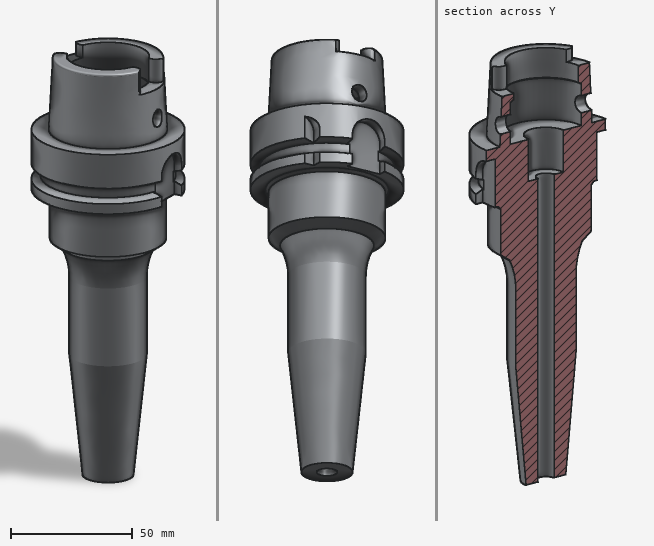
import cadquery as cq
import math

total_height = 182.0
nose_taper_top = 52.6
shank_top = 86.5
shoulder_bottom = 99.7
shoulder_top = 103.0
collar_top = 123.0
flange_bottom = 124.3
groove_lower_edge = 128.7
groove_floor_bottom = 130.1
groove_floor_top = 134.1
groove_upper_edge = 135.4
flange_top = 150.2

nose_radius = 10.5
shank_radius = 16.0
shoulder_radius = 19.3
collar_radius = 24.0
collar_chamfer = flange_bottom - collar_top
flange_radius = 31.5
groove_radius = 27.8
taper_base_radius = 24.4
taper_top_radius = 22.8
rim_fillet = 1.1

mouth_radius = 17.0
undercut_radius = 18.5
mouth_depth = 13.0
undercut_lead = 1.0
recess_radius = 9.1
recess_depth = 18.2
passage_radius = 4.2

keyway_width = 16.0
keyway_floor = 27.0
keyway_apex = 145.2
notch_radius = 6.4
notch_center_y = 26.4
notch_floor = 19.8

rim_slot_width = 12.4
rim_slot_fillet = 3.5
shallow_slot_depth = 5.5
deep_slot_depth = 10.2
cross_hole_radius = 3.6
cross_hole_height = 159.2


def make_outer_body():
    """Revolve the outside profile, with a concave arc blending shank into shoulder."""
    blend_width = shoulder_radius - shank_radius
    blend_height = shoulder_bottom - shank_top
    blend_radius = (blend_width**2 + blend_height**2) / (2 * blend_width)
    half_angle = math.asin(blend_height / blend_radius) / 2
    blend_middle = (
        shank_radius + blend_radius * (1 - math.cos(half_angle)),
        shank_top + blend_radius * math.sin(half_angle),
    )
    profile = (
        cq.Workplane("XZ")
        .lineTo(nose_radius, 0)
        .lineTo(shank_radius, nose_taper_top)
        .lineTo(shank_radius, shank_top)
        .threePointArc(blend_middle, (shoulder_radius, shoulder_bottom))
        .lineTo(collar_radius, shoulder_top)
        .lineTo(collar_radius, collar_top)
        .lineTo(collar_radius + collar_chamfer, flange_bottom)
        .lineTo(flange_radius, flange_bottom)
        .lineTo(flange_radius, groove_lower_edge)
        .lineTo(groove_radius, groove_floor_bottom)
        .lineTo(groove_radius, groove_floor_top)
        .lineTo(flange_radius, groove_upper_edge)
        .lineTo(flange_radius, flange_top)
        .lineTo(taper_base_radius, flange_top)
        .lineTo(taper_top_radius, total_height)
        .lineTo(0, total_height)
        .close()
    )
    body = profile.revolve(360, (0, 0), (0, 1))
    return body.faces(">Z").edges().fillet(rim_fillet)


def make_cavity():
    """Mouth with a wider undercut, a recess in its floor and a passage to the nose."""
    mouth_bottom = total_height - mouth_depth
    cavity_floor = flange_top
    recess_floor = cavity_floor - recess_depth
    return (
        cq.Workplane("XZ")
        .lineTo(passage_radius, 0)
        .lineTo(passage_radius, recess_floor)
        .lineTo(recess_radius, recess_floor)
        .lineTo(recess_radius, cavity_floor)
        .lineTo(undercut_radius, cavity_floor)
        .lineTo(undercut_radius, mouth_bottom - undercut_lead)
        .lineTo(mouth_radius, mouth_bottom)
        .lineTo(mouth_radius, total_height)
        .lineTo(0, total_height)
        .close()
        .revolve(360, (0, 0), (0, 1))
    )


def make_arched_cutter(center_y, radius, floor):
    """Round-topped cutter, open through the flange bottom and outward along +X."""
    arch_center = keyway_apex - radius
    return (
        cq.Workplane("YZ", origin=(floor, 0, 0))
        .moveTo(center_y - radius, flange_bottom)
        .lineTo(center_y - radius, arch_center)
        .threePointArc((center_y, keyway_apex), (center_y + radius, arch_center))
        .lineTo(center_y + radius, flange_bottom)
        .close()
        .extrude(flange_radius)
    )


def make_rim_slot(depth):
    """Slot on the +X side of the rim whose walls curve apart toward the outside."""
    half_width = rim_slot_width / 2
    flare_half_width = half_width + rim_slot_fillet
    flare_end = math.sqrt(taper_top_radius**2 - flare_half_width**2)
    flare_start = flare_end - rim_slot_fillet
    bend = rim_slot_fillet * math.sin(math.pi / 4)
    upper_middle = (flare_start + bend, flare_half_width - bend)
    lower_middle = (upper_middle[0], -upper_middle[1])
    return (
        cq.Workplane("XY", origin=(0, 0, total_height - depth))
        .moveTo(0, -half_width)
        .lineTo(flare_start, -half_width)
        .threePointArc(lower_middle, (flare_end, -flare_half_width))
        .lineTo(flange_radius, -flare_half_width)
        .lineTo(flange_radius, flare_half_width)
        .lineTo(flare_end, flare_half_width)
        .threePointArc(upper_middle, (flare_start, half_width))
        .lineTo(0, half_width)
        .close()
        .extrude(depth)
    )


def turn_to_minus_x(cutter):
    return cutter.rotate((0, 0, 0), (0, 0, 1), 180)


result = make_outer_body().cut(make_cavity())

keyway = make_arched_cutter(0, keyway_width / 2, keyway_floor)
result = result.cut(keyway).cut(turn_to_minus_x(keyway))

notch = make_arched_cutter(-notch_center_y, notch_radius, notch_floor)
result = result.cut(turn_to_minus_x(notch))

result = result.cut(make_rim_slot(deep_slot_depth))
result = result.cut(turn_to_minus_x(make_rim_slot(shallow_slot_depth)))

cross_hole = (
    cq.Workplane("YZ")
    .center(0, cross_hole_height)
    .circle(cross_hole_radius)
    .extrude(flange_radius, both=True)
)
result = result.cut(cross_hole)